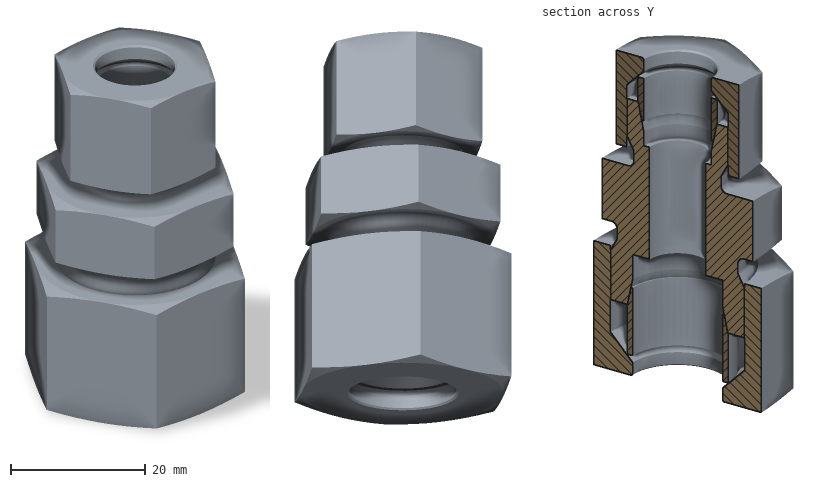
import cadquery as cq
import math


TOTAL_HEIGHT = 53.0
LOWER_NUT_HEIGHT = 20.5
LOWER_NUT_GAP = 4.0
BODY_HEX_HEIGHT = 10.0
UPPER_NUT_HEIGHT = 15.55
HEX_BOTTOM = LOWER_NUT_HEIGHT + LOWER_NUT_GAP
HEX_TOP = HEX_BOTTOM + BODY_HEX_HEIGHT
UPPER_NUT_GAP = TOTAL_HEIGHT - UPPER_NUT_HEIGHT - HEX_TOP

BODY_HEX_WIDTH = 27.0
FLOW_BORE = 10.0

HEX_CHAMFER_ANGLE = math.radians(15)
NECK_FILLET = 1.0
NECK_END = 2.4
RUN_OUT_ANGLE = math.radians(30)
SEAT_ANGLE = math.radians(12)
RIM_CHAMFER = 0.25
NUT_LAND = 2.2
RING_STEP = 0.15
RING_TIP = 3.0

UPPER = {
    "nut_width": 22.0,
    "nut_height": UPPER_NUT_HEIGHT,
    "nut_gap": UPPER_NUT_GAP,
    "tube": 12.0,
    "thread": 18.0,
    "neck": 15.7,
    "ring": 14.3,
    "stub_length": 11.0,
    "socket_depth": 7.0,
}
LOWER = {
    "nut_width": 30.0,
    "nut_height": LOWER_NUT_HEIGHT,
    "nut_gap": LOWER_NUT_GAP,
    "tube": 16.0,
    "thread": 24.0,
    "neck": 21.7,
    "ring": 18.2,
    "stub_length": 13.0,
    "socket_depth": 8.5,
}


def revolve(profile):
    """Spin a closed (radius, height) profile about the Z axis."""
    return profile.close().revolve(360, (0, 0, 0), (0, 1, 0))


def place_upper(shape):
    return shape.translate((0, 0, HEX_TOP))


def place_lower(shape):
    return shape.rotate((0, 0, 0), (1, 0, 0), 180).translate((0, 0, HEX_BOTTOM))


def chamfered_hexagon(width, height):
    """Hexagonal prism from 0 up, corners toward +Y and -Y, corners turned conical at both ends."""
    flat_radius = width / 2
    corner_radius = flat_radius / math.cos(math.radians(30))
    drop = (corner_radius - flat_radius) * math.tan(HEX_CHAMFER_ANGLE)
    prism = cq.Workplane("XY").polygon(6, 2 * corner_radius).extrude(height)
    prism = prism.rotate((0, 0, 0), (0, 0, 1), 30)
    envelope = revolve(
        cq.Workplane("XZ")
        .moveTo(0, 0)
        .lineTo(flat_radius, 0)
        .lineTo(corner_radius, drop)
        .lineTo(corner_radius, height - drop)
        .lineTo(flat_radius, height)
        .lineTo(0, height)
    )
    return prism.intersect(envelope)


def stub(end):
    """Filleted neck, conical run-out and thread cylinder, without its socket."""
    neck = end["neck"] / 2
    thread = end["thread"] / 2
    fillet_inset = NECK_FILLET * (1 - math.sin(math.radians(45)))
    mid_angle = RUN_OUT_ANGLE / 2
    run_out_mid = (
        neck + NECK_FILLET * (1 - math.cos(mid_angle)),
        NECK_END + NECK_FILLET * math.sin(mid_angle),
    )
    run_out_radius = neck + NECK_FILLET * (1 - math.cos(RUN_OUT_ANGLE))
    run_out_start = NECK_END + NECK_FILLET * math.sin(RUN_OUT_ANGLE)
    thread_start = run_out_start + (thread - run_out_radius) / math.tan(RUN_OUT_ANGLE)
    return revolve(
        cq.Workplane("XZ")
        .moveTo(0, 0)
        .lineTo(neck + NECK_FILLET, 0)
        .threePointArc((neck + fillet_inset, fillet_inset), (neck, NECK_FILLET))
        .lineTo(neck, NECK_END)
        .threePointArc(run_out_mid, (run_out_radius, run_out_start))
        .lineTo(thread, thread_start)
        .lineTo(thread, end["stub_length"])
        .lineTo(0, end["stub_length"])
    )


def seat_radius(end):
    """Radius of the body cone at the open end of the stub."""
    return end["ring"] / 2 - RING_STEP


def socket(end):
    """Tube socket with the conical ring seat at its mouth, as a cutting shape."""
    tube = end["tube"] / 2
    mouth = seat_radius(end)
    stub_end = end["stub_length"]
    floor = stub_end - end["socket_depth"]
    cone_bottom = stub_end - (mouth - tube) / math.tan(SEAT_ANGLE)
    return revolve(
        cq.Workplane("XZ")
        .moveTo(0, floor)
        .lineTo(tube, floor)
        .lineTo(tube, cone_bottom)
        .lineTo(mouth, stub_end)
        .lineTo(0, stub_end)
    )


def make_body():
    hexagon = chamfered_hexagon(BODY_HEX_WIDTH, BODY_HEX_HEIGHT).translate((0, 0, HEX_BOTTOM))
    flow_bore = cq.Workplane("XY").circle(FLOW_BORE / 2).extrude(TOTAL_HEIGHT)
    return (
        hexagon
        .union(place_upper(stub(UPPER)))
        .union(place_lower(stub(LOWER)))
        .cut(place_upper(socket(UPPER)))
        .cut(place_lower(socket(LOWER)))
        .cut(flow_bore)
    )


def make_nut(end):
    """Union nut: thread bore, 45 degree shoulder, tube hole and chamfered rim."""
    tube = end["tube"] / 2
    thread = end["thread"] / 2
    inner_face = end["nut_gap"]
    outer_face = inner_face + end["nut_height"]
    land_start = outer_face - NUT_LAND
    shoulder_start = land_start - (thread - tube)
    cavity = revolve(
        cq.Workplane("XZ")
        .moveTo(0, inner_face)
        .lineTo(thread, inner_face)
        .lineTo(thread, shoulder_start)
        .lineTo(tube, land_start)
        .lineTo(tube, outer_face - RIM_CHAMFER)
        .lineTo(tube + RIM_CHAMFER, outer_face)
        .lineTo(0, outer_face)
    )
    hexagon = chamfered_hexagon(end["nut_width"], end["nut_height"])
    return hexagon.translate((0, 0, inner_face)).cut(cavity)


def make_cutting_ring(end):
    """Ring whose outer edge meets the nut shoulder and whose tip fills the mouth of the body cone."""
    tube = end["tube"] / 2
    rim = end["ring"] / 2
    seat = seat_radius(end)
    stub_end = end["stub_length"]
    tip = stub_end - RING_TIP
    nut_face = end["nut_gap"] + end["nut_height"]
    ring_end = nut_face - NUT_LAND - (rim - tube)
    return revolve(
        cq.Workplane("XZ")
        .moveTo(tube, tip)
        .lineTo(seat - RING_TIP * math.tan(SEAT_ANGLE), tip)
        .lineTo(seat, stub_end)
        .lineTo(rim, stub_end)
        .lineTo(rim, ring_end)
        .lineTo(tube, ring_end)
    )


body = make_body()
solids = [body.solids().val()]
for end, place in ((UPPER, place_upper), (LOWER, place_lower)):
    nut = place(make_nut(end))
    cutting_ring = place(make_cutting_ring(end))
    solids += [nut.solids().val(), cutting_ring.solids().val()]

result = cq.Compound.makeCompound(solids)